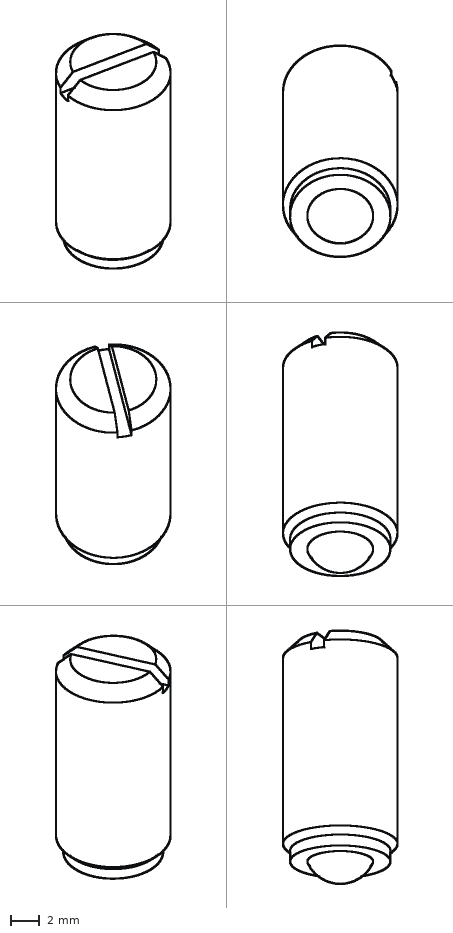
import cadquery as cq

total_length = 17.5
body_diameter = 8.0
collar_diameter = 7.0

ball_diameter = 5.0
ball_protrusion = 1.5
collar_height = 0.8

top_chamfer = 1.0
slot_width = 1.0
slot_depth = 1.5

body_radius = body_diameter / 2
collar_radius = collar_diameter / 2
ball_radius = ball_diameter / 2
collar_top = ball_protrusion + collar_height
lower_chamfer = body_radius - collar_radius


def make_body():
    """Revolve the collar, the lower cone, the barrel and the top chamfer."""
    return (
        cq.Workplane("XZ")
        .moveTo(0, ball_protrusion)
        .lineTo(collar_radius, ball_protrusion)
        .lineTo(collar_radius, collar_top)
        .lineTo(body_radius, collar_top + lower_chamfer)
        .lineTo(body_radius, total_length - top_chamfer)
        .lineTo(body_radius - top_chamfer, total_length)
        .lineTo(0, total_length)
        .close()
        .revolve(360, (0, 0, 0), (0, 1, 0))
    )


def make_ball():
    """Ball partly sunk into the lower end of the body."""
    return cq.Workplane("XY").sphere(ball_radius).translate((0, 0, ball_radius))


def make_slot():
    """Straight slot along Y, open across the whole top face."""
    return (
        cq.Workplane("XY")
        .workplane(offset=total_length - slot_depth)
        .rect(slot_width, body_diameter)
        .extrude(slot_depth)
    )


result = make_body().union(make_ball()).cut(make_slot())